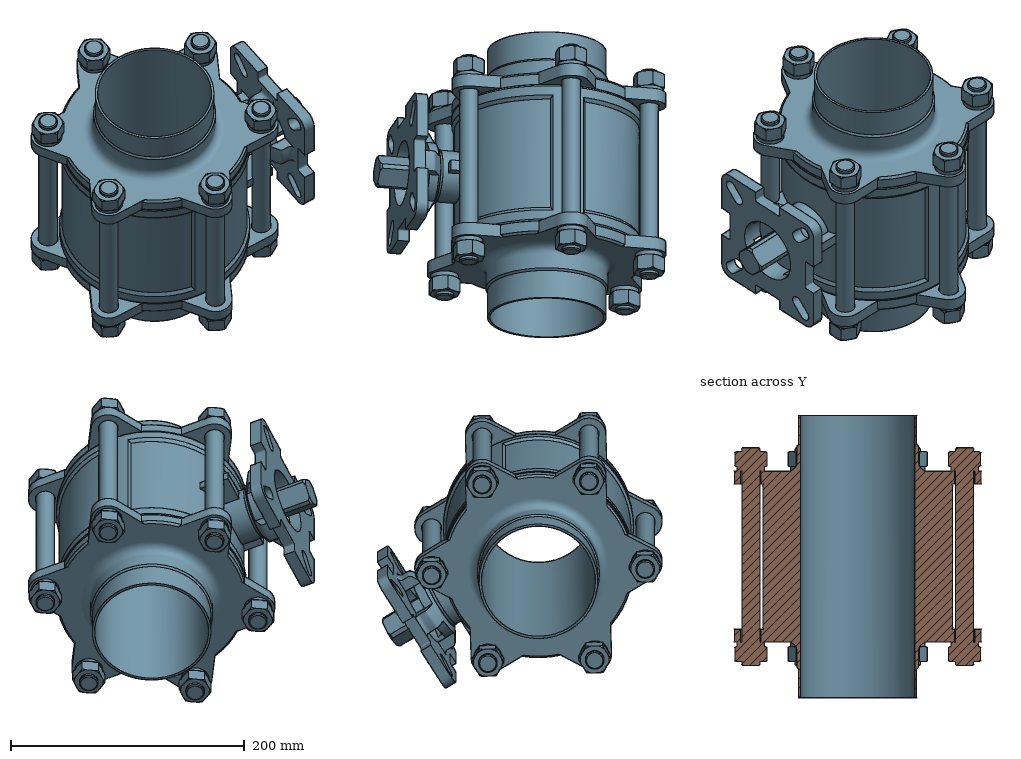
import cadquery as cq
import math


bore_d = 97.5
pipe_d = 101.6
neck_d = 104.5
total_length = 241.8
total_depth_y = 243.22
end_z = total_length / 2
neck_top_z = 96.4
neck_step = 1.8
neck_fillet = 8.0

flange_bottom_z = 62.1
flange_thickness = 11.1
flange_top_z = flange_bottom_z + flange_thickness
flange_r = 81.3
flange_chamfer_r = 1.8
flange_chamfer_z = 2.0
bolt_count = 6
bolt_circle_r = 91.5
lug_r = 14.45
lug_taper = math.radians(30)

bolt_d = 16.0
bolt_hole_d = 17.0
bolt_end_z = 93.3
bolt_chamfer = 1.0
collar_d = 24.0
collar_h = 3.8
nut_flats = 24.0
nut_corners = nut_flats / math.cos(math.radians(30))
nut_h = 13.0
nut_chamfer_r = 1.5
nut_chamfer_z = 0.8

body_r = 163.0 / 2
body_edge_r = 0.6
body_edge_z = 1.5
panel_depth = 2.2
panel_outer_z = 52.3
panel_wall_run_z = 3.1
rib_half_width = 12.7
rib_wall_run = 1.5

hub_d = 44.5
hub_top_y = 96.4
hub_lip = 0.4
stop_start_x = -30.0
stop_end_x = 45.0
stop_top_y = bolt_circle_r
stop_thickness = 9.0

plate_size = 112.0
plate_thickness = 10.0
plate_bottom_y = 117.5
plate_top_y = plate_bottom_y + plate_thickness
plate_corner_r = 10.0
notch_width = 29.2
notch_depth = 10.0
notch_fillet = 1.5
slot_width = 11.0
slot_inner_r = 51.0
slot_outer_r = 63.2
ring_r = 56.0 / 2
ring_top_y = 109.2
ring_edge_y = 101.1
cone_bottom_r = 23.9
cone_bottom_y = 98.6
cone_angle = math.atan2(ring_edge_y - cone_bottom_y, ring_r - cone_bottom_r)
arm_r = 37.5
arm_width = 18.2
arm_fillet = 6.65 / 2

stem_square = 22.4
stem_corner_d = 28.0
stem_tip_chamfer = 1.7
lowest_bolt_y = -bolt_circle_r * math.sin(2 * math.pi / bolt_count)
stem_tip_y = lowest_bolt_y - lug_r + total_depth_y

bolt_angles = [index * 360.0 / bolt_count for index in range(bolt_count)]


def cylinder(radius, z_from, z_to):
    return cq.Workplane("XY", origin=(0, 0, z_from)).circle(radius).extrude(z_to - z_from)


def cylinder_along_y(radius, y_from, y_to):
    return cq.Workplane("XZ", origin=(0, y_from, 0)).circle(radius).extrude(y_from - y_to)


def at_bolts(shape):
    """Copies a shape standing on the Z axis to every bolt position, without turning it."""
    placed = cq.Workplane("XY")
    for angle in bolt_angles:
        x = bolt_circle_r * math.cos(math.radians(angle))
        y = bolt_circle_r * math.sin(math.radians(angle))
        placed = placed.add(shape.translate((x, y, 0)).vals())
    return placed.combine()


def make_body():
    body = (
        cq.Workplane("XZ")
        .moveTo(0, -flange_bottom_z)
        .lineTo(body_r - body_edge_r, -flange_bottom_z)
        .lineTo(body_r, body_edge_z - flange_bottom_z)
        .lineTo(body_r, flange_bottom_z - body_edge_z)
        .lineTo(body_r - body_edge_r, flange_bottom_z)
        .lineTo(0, flange_bottom_z)
        .close()
        .revolve(360, (0, 0), (0, 1))
    )

    floor_r = body_r - panel_depth
    panel_inner_z = panel_outer_z - panel_wall_run_z
    panel_ring = (
        cq.Workplane("XZ")
        .moveTo(floor_r, -panel_inner_z)
        .lineTo(body_r, -panel_outer_z)
        .lineTo(body_r + panel_depth, -panel_outer_z)
        .lineTo(body_r + panel_depth, panel_outer_z)
        .lineTo(body_r, panel_outer_z)
        .lineTo(floor_r, panel_inner_z)
        .close()
        .revolve(360, (0, 0), (0, 1))
    )

    inner_x = body_r - 2 * panel_depth
    outer_x = body_r + 2 * panel_depth
    inner_half_width = rib_half_width + 2 * rib_wall_run
    outer_half_width = rib_half_width - 2 * rib_wall_run
    rib = (
        cq.Workplane("XY", origin=(0, 0, -panel_outer_z))
        .polyline([
            (inner_x, -inner_half_width),
            (outer_x, -outer_half_width),
            (outer_x, outer_half_width),
            (inner_x, inner_half_width),
        ])
        .close()
        .extrude(2 * panel_outer_z)
    )
    panels = panel_ring.cut(rib).cut(rib.mirror("YZ"))
    return body.cut(panels)


def make_lug():
    """Round-ended lug on the +X axis, widening toward the flange centre."""
    tangent_x = bolt_circle_r + lug_r * math.sin(lug_taper)
    tangent_y = lug_r * math.cos(lug_taper)
    root_x = flange_r / 2
    root_y = tangent_y + (tangent_x - root_x) * math.tan(lug_taper)
    return (
        cq.Workplane("XY", origin=(0, 0, flange_bottom_z))
        .moveTo(root_x, -root_y)
        .lineTo(tangent_x, -tangent_y)
        .threePointArc((bolt_circle_r + lug_r, 0), (tangent_x, tangent_y))
        .lineTo(root_x, root_y)
        .close()
        .extrude(flange_thickness)
    )


def make_end_piece():
    """Upper flange with its lugs, neck and pipe end."""
    pipe_r = pipe_d / 2
    neck_r = neck_d / 2
    fillet_mid = neck_fillet * (1 - math.sqrt(0.5))
    end_piece = (
        cq.Workplane("XZ")
        .moveTo(0, flange_bottom_z)
        .lineTo(flange_r, flange_bottom_z)
        .lineTo(flange_r, flange_top_z - flange_chamfer_z)
        .lineTo(flange_r - flange_chamfer_r, flange_top_z)
        .lineTo(neck_r + neck_fillet, flange_top_z)
        .threePointArc(
            (neck_r + fillet_mid, flange_top_z + fillet_mid),
            (neck_r, flange_top_z + neck_fillet),
        )
        .lineTo(neck_r, neck_top_z - neck_step)
        .lineTo(pipe_r, neck_top_z)
        .lineTo(pipe_r, end_z)
        .lineTo(0, end_z)
        .close()
        .revolve(360, (0, 0), (0, 1))
    )
    lug = make_lug()
    for angle in bolt_angles:
        end_piece = end_piece.union(lug.rotate((0, 0, 0), (0, 0, 1), angle))
    bolt_hole = cylinder(bolt_hole_d / 2, flange_bottom_z, flange_top_z)
    return end_piece.cut(at_bolts(bolt_hole))


def make_fastener():
    """Bolt with a collar and nut at each end."""
    nut_bottom_z = flange_top_z + collar_h
    collar = cylinder(collar_d / 2, flange_top_z, nut_bottom_z)
    hexagon = (
        cq.Workplane("XY", origin=(0, 0, nut_bottom_z))
        .polygon(6, nut_corners)
        .extrude(nut_h)
    )
    chamfer_envelope = (
        cylinder(nut_corners / 2, nut_bottom_z, nut_bottom_z + nut_h)
        .faces("<Z or >Z")
        .chamfer(nut_chamfer_z, nut_chamfer_r)
    )
    nut = hexagon.intersect(chamfer_envelope).union(collar)
    bolt = cylinder(bolt_d / 2, -bolt_end_z, bolt_end_z).faces("<Z or >Z").chamfer(bolt_chamfer)
    return bolt.union(nut).union(nut.mirror("XY"))


def make_hub():
    hub = cylinder_along_y(hub_d / 2, 0, hub_top_y)
    lip = cylinder_along_y(hub_d / 2 + hub_lip, hub_top_y, cone_bottom_y)
    stop_plate = (
        cq.Workplane("XY", origin=(0, 0, -stop_thickness / 2))
        .moveTo(stop_start_x, 0)
        .lineTo(stop_end_x, 0)
        .lineTo(stop_end_x, stop_top_y)
        .lineTo(stop_start_x, stop_top_y)
        .close()
        .extrude(stop_thickness)
    )
    return hub.union(lip).union(stop_plate)


def make_bracket_base():
    """Conical ring whose underside runs on outward into four arms."""
    fillet_mid = arm_fillet * (1 - math.sqrt(0.5))

    cone_y_at_arm = ring_edge_y + (arm_r - ring_r) * math.tan(cone_angle)
    shoulder_sweep = math.pi / 2 - cone_angle
    shoulder_y = cone_y_at_arm + arm_fillet * math.tan(shoulder_sweep / 2)

    def shoulder_point(sweep):
        radius = arm_r - arm_fillet + arm_fillet * math.cos(sweep)
        return radius, shoulder_y - arm_fillet * math.sin(sweep)

    bell = (
        cq.Workplane("XY")
        .moveTo(0, cone_bottom_y)
        .lineTo(cone_bottom_r, cone_bottom_y)
        .lineTo(*shoulder_point(shoulder_sweep))
        .threePointArc(shoulder_point(shoulder_sweep / 2), (arm_r, shoulder_y))
        .lineTo(arm_r, plate_bottom_y - arm_fillet)
        .threePointArc(
            (arm_r + fillet_mid, plate_bottom_y - fillet_mid),
            (arm_r + arm_fillet, plate_bottom_y),
        )
        .lineTo(ring_r, plate_bottom_y)
        .lineTo(ring_r, ring_top_y)
        .lineTo(0, ring_top_y)
        .close()
        .revolve(360, (0, 0), (0, 1))
    )

    arm_span = 2 * (arm_r + arm_fillet)
    gaps = cylinder_along_y(arm_span, 0, plate_bottom_y).cut(
        cylinder_along_y(ring_r, 0, plate_bottom_y)
    )
    for length_x, length_z in ((arm_span, arm_width), (arm_width, arm_span)):
        gaps = gaps.cut(cq.Workplane("XZ").rect(length_x, length_z).extrude(-plate_bottom_y))
    return bell.cut(gaps)


def make_plate():
    plate = (
        cq.Workplane("XZ", origin=(0, plate_bottom_y, 0))
        .rect(plate_size, plate_size)
        .extrude(-plate_thickness)
        .edges("|Y")
        .fillet(plate_corner_r)
        .cut(cylinder_along_y(ring_r, plate_bottom_y, plate_top_y))
    )
    notch = (
        cq.Workplane("XZ", origin=(plate_size / 2, plate_bottom_y, 0))
        .rect(2 * notch_depth, notch_width)
        .extrude(-plate_thickness)
        .edges("|Y")
        .fillet(notch_fillet)
    )
    slot = (
        cq.Workplane("XZ", origin=((slot_inner_r + slot_outer_r) / 2, plate_bottom_y, 0))
        .slot2D(slot_outer_r - slot_inner_r + slot_width, slot_width)
        .extrude(-plate_thickness)
    )
    for side in range(4):
        plate = plate.cut(notch.rotate((0, 0, 0), (0, 1, 0), 90 * side))
        plate = plate.cut(slot.rotate((0, 0, 0), (0, 1, 0), 90 * side + 45))
    return plate


def make_stem():
    square = (
        cq.Workplane("XZ", origin=(0, cone_bottom_y, 0))
        .transformed(rotate=(0, 0, 45))
        .rect(stem_square, stem_square)
        .extrude(cone_bottom_y - stem_tip_y)
    )
    envelope = (
        cylinder_along_y(stem_corner_d / 2, cone_bottom_y, stem_tip_y)
        .faces(">Y")
        .chamfer(stem_tip_chamfer)
    )
    return square.intersect(envelope)


end_piece = make_end_piece()
valve = make_body().union(make_hub())
valve = valve.union(end_piece).union(end_piece.mirror("XY"))
valve = valve.cut(cylinder(bore_d / 2, -end_z, end_z))
valve = valve.union(at_bolts(make_fastener()))
bracket = make_bracket_base().union(make_plate()).union(make_stem())

result = valve.union(bracket)